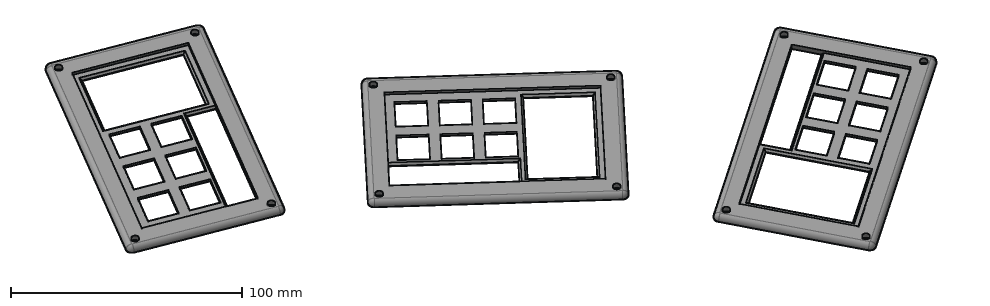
import cadquery as cq

length = 112.9
width = 72.3
thickness = 3.0
side_height = 0.4
rim_radius = thickness - side_height
corner_radius = 2.8

hole_diameter = 3.4
hole_spacing_x = 102.7
hole_spacing_y = 62.2

recess_length = 93.5
recess_width = 53.0
floor_thickness = 1.5

bevel = 1.0
screen_length = 30.0
screen_width = 46.3
screen_x = -28.2
bay_left = -9.5
bay_bottom = 13.2

key_size = 14.0
key_pitch = 19.1
key_columns = 3
key_rows = 2
keys_center_x = 16.5
keys_center_y = -5.6


def make_frame():
    """Plate with round corners and a rounded upper rim."""
    plate = cq.Workplane("XY").box(length, width, thickness, centered=(True, True, False))
    plate = plate.edges("|Z").fillet(corner_radius)
    return plate.faces(">Z").edges().fillet(rim_radius)


def make_screw_holes():
    """Four through holes, one near each corner."""
    return (
        cq.Workplane("XY")
        .rect(hole_spacing_x, hole_spacing_y, forConstruction=True)
        .vertices()
        .circle(hole_diameter / 2)
        .extrude(thickness)
    )


def make_recess():
    """Shallow rectangular pocket in the upper face."""
    return (
        cq.Workplane("XY")
        .workplane(offset=floor_thickness)
        .rect(recess_length, recess_width)
        .extrude(thickness - floor_thickness)
    )


def make_beveled_opening(opening_length, opening_width):
    """Rectangular opening through the recess floor, flaring outward at its upper edges."""
    flare = (
        cq.Workplane("XY")
        .workplane(offset=floor_thickness - bevel)
        .rect(opening_length, opening_width)
        .workplane(offset=bevel)
        .rect(opening_length + 2 * bevel, opening_width + 2 * bevel)
        .loft(ruled=True)
    )
    shaft = cq.Workplane("XY").rect(opening_length, opening_width).extrude(floor_thickness)
    return shaft.union(flare)


def make_screen_opening():
    """Window for the screen, bevelled on all four sides."""
    return make_beveled_opening(screen_length, screen_width).translate((screen_x, 0, 0))


def make_bay_opening():
    """Bay in the recess corner: bevelled on its left and lower sides, flush with the recess walls."""
    bay_length = recess_length / 2 - bay_left
    bay_width = recess_width / 2 - bay_bottom
    center = (bay_left + bay_length / 2, bay_bottom + bay_width / 2, 0)
    recess_column = cq.Workplane("XY").rect(recess_length, recess_width).extrude(floor_thickness)
    return make_beveled_opening(bay_length, bay_width).translate(center).intersect(recess_column)


def make_key_openings():
    """Grid of square through holes for the keys."""
    return (
        cq.Workplane("XY")
        .center(keys_center_x, keys_center_y)
        .rarray(key_pitch, key_pitch, key_columns, key_rows)
        .rect(key_size, key_size)
        .extrude(floor_thickness)
    )


result = (
    make_frame()
    .cut(make_screw_holes())
    .cut(make_recess())
    .cut(make_screen_opening())
    .cut(make_bay_opening())
    .cut(make_key_openings())
)